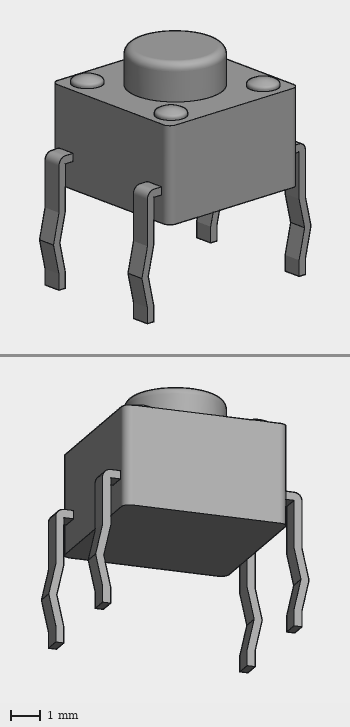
import cadquery as cq

body_width = 5.99
body_bottom = 3.5
body_height = 3.61
body_corner_radius = 0.3
body_top = body_bottom + body_height

overall_height = 8.51
button_diameter = 3.51
button_edge_radius = 0.3

rivet_diameter = 1.15
rivet_offset = 2.13
rivet_wall_height = 0.05
rivet_shoulder_height = 0.16
rivet_height = 0.3
rivet_dome_radius = 0.51

leg_width = 0.715
leg_thickness = 0.3
leg_offset = 2.25
leg_top = 4.825
leg_bend_radius = 0.3
leg_tip_reach = 7.8 / 2
leg_kink_depth = 0.255
leg_outer = leg_tip_reach - leg_kink_depth
kink_top = 2.82
kink_middle = 1.71
kink_bottom = 0.59
leg_embed = 0.17


def make_body():
    return (
        cq.Workplane("XY", origin=(0, 0, body_bottom))
        .rect(body_width, body_width)
        .extrude(body_height)
        .edges("|Z")
        .fillet(body_corner_radius)
    )


def make_button():
    return (
        cq.Workplane("XY", origin=(0, 0, body_top))
        .circle(button_diameter / 2)
        .extrude(overall_height - body_top)
        .faces(">Z")
        .edges()
        .fillet(button_edge_radius)
    )


def make_rivet():
    """Revolve a short wall, a rounded shoulder and a shallow dome about Z."""
    radius = rivet_diameter / 2
    dome_rise = rivet_height - rivet_shoulder_height
    sphere_radius = (rivet_dome_radius**2 + dome_rise**2) / (2 * dome_rise)
    mid_radius = rivet_dome_radius / 2
    mid_drop = sphere_radius - (sphere_radius**2 - mid_radius**2) ** 0.5
    return (
        cq.Workplane("XZ")
        .lineTo(radius, 0)
        .lineTo(radius, rivet_wall_height)
        .tangentArcPoint((rivet_dome_radius, rivet_shoulder_height), relative=False)
        .threePointArc((mid_radius, rivet_height - mid_drop), (0, rivet_height))
        .close()
        .revolve(360, (0, 0), (0, 1))
    )


def make_leg():
    """Leg on the +Y side, centred on X = 0, with its root sunk into the housing."""
    root = body_width / 2 - leg_embed
    leg_inner = leg_outer - leg_thickness
    tip_inner = leg_tip_reach - leg_thickness
    return (
        cq.Workplane("YZ")
        .moveTo(root, leg_top)
        .lineTo(leg_outer - leg_bend_radius, leg_top)
        .tangentArcPoint((leg_outer, leg_top - leg_bend_radius), relative=False)
        .lineTo(leg_outer, kink_top)
        .lineTo(leg_tip_reach, kink_middle)
        .lineTo(leg_outer, kink_bottom)
        .lineTo(leg_outer, 0)
        .lineTo(leg_inner, 0)
        .lineTo(leg_inner, kink_bottom)
        .lineTo(tip_inner, kink_middle)
        .lineTo(leg_inner, kink_top)
        .lineTo(leg_inner, leg_top - leg_thickness)
        .lineTo(root, leg_top - leg_thickness)
        .close()
        .extrude(leg_width / 2, both=True)
    )


result = make_body().union(make_button())

rivet = make_rivet()
back_leg = make_leg()
front_leg = back_leg.mirror("XZ")
for side in (-1, 1):
    for rivet_y in (-rivet_offset, rivet_offset):
        result = result.union(rivet.translate((side * rivet_offset, rivet_y, body_top)))
    for leg in (back_leg, front_leg):
        result = result.union(leg.translate((side * leg_offset, 0, 0)))